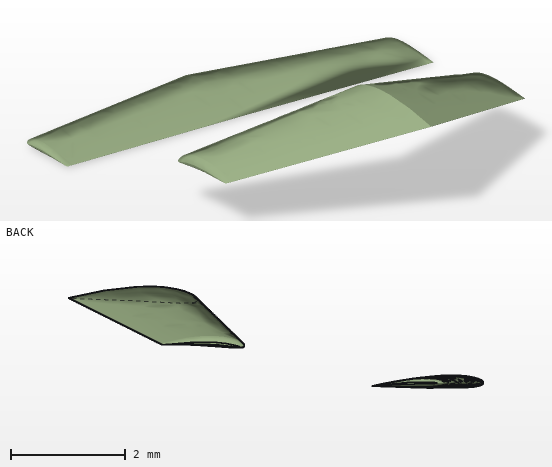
import cadquery as cq
import math


WING_ROOT_LEAD = (0.0, 0.005)
WING_ROOT_TRAIL = (1.91, -0.055)
WING_TIP_LEAD = (0.675, -0.003)
WING_TIP_TRAIL = (1.94, -0.055)
WING_TIP_Y = 3.86
WING_CAMBER = 0.02

TAIL_ROOT_LEAD = (5.0, 1.458)
TAIL_ROOT_TRAIL = (7.24, 1.483)
TAIL_TIP_LEAD = (4.175, 0.66)
TAIL_TIP_TRAIL = (5.675, 0.70)
TAIL_TIP_Y = 3.13
TAIL_CAMBER = 0.04

THICKNESS = 0.12
CAMBER_POSITION = 0.4
POINTS_PER_SIDE = 16

CAP_LENGTH = 0.14
CAP_NOSE_SETBACK = 0.15
CAP_TRAIL_SHORTFALL = 0.015
CAP_END_ANGLE = 75
CAP_SECTIONS = 5


def half_thickness(u):
    """NACA four-digit half thickness at chord fraction u."""
    polynomial = 0.2969 * math.sqrt(u) - 0.1260 * u - 0.3516 * u**2 + 0.2843 * u**3 - 0.1015 * u**4
    return 5 * THICKNESS * polynomial


def camber_line(u, camber):
    """NACA four-digit camber height at chord fraction u."""
    p = CAMBER_POSITION
    if u < p:
        return camber / p**2 * (2 * p * u - u**2)
    return camber / (1 - p) ** 2 * (1 - 2 * p + 2 * p * u - u**2)


def section(lead, trail, camber, y, flatten=1.0, y_drop=0.0):
    """Closed aerofoil wire; y_drop pulls its trailing edge back towards the root."""
    run = trail[0] - lead[0]
    rise = trail[1] - lead[1]

    def surface_point(u, side):
        height = camber_line(u, camber) + side * flatten * half_thickness(u)
        x = lead[0] + u * run - height * rise
        z = lead[1] + u * rise + height * run
        return cq.Vector(x, y - y_drop * u, z)

    stations = [(1 - math.cos(math.pi * i / POINTS_PER_SIDE)) / 2 for i in range(POINTS_PER_SIDE + 1)]
    upper = [surface_point(u, 1) for u in reversed(stations)]
    lower = [surface_point(u, -1) for u in stations[1:]]
    skin = cq.Edge.makeSpline(upper + lower)
    trailing_face = cq.Edge.makeLine(lower[-1], upper[0])
    return cq.Wire.assembleEdges([skin, trailing_face])


def extended(root, tip, tip_y, distance):
    """Point reached by carrying the root-to-tip edge on past the tip."""
    t = distance / tip_y
    return tuple(b + t * (b - a) for a, b in zip(root, tip))


def tip_cap(root_lead, root_trail, tip_lead, tip_trail, tip_y, camber):
    """Cap whose thickness and leading edge follow a quarter ellipse."""
    end_angle = math.radians(CAP_END_ANGLE)
    wires = []
    for i in range(CAP_SECTIONS):
        angle = end_angle * i / (CAP_SECTIONS - 1)
        progress = math.sin(angle) / math.sin(end_angle)
        reach = CAP_LENGTH * progress
        lead = extended(root_lead, tip_lead, tip_y, reach)
        trail = extended(root_trail, tip_trail, tip_y, reach)
        nose = (lead[0] + CAP_NOSE_SETBACK * (1 - math.cos(angle)), lead[1])
        wires.append(
            section(nose, trail, camber, tip_y + reach, math.cos(angle), CAP_TRAIL_SHORTFALL * progress)
        )
    return cq.Solid.makeLoft(wires)


def lifting_surface(root_lead, root_trail, tip_lead, tip_trail, tip_y, camber):
    """Straight tapered half with its cap, mirrored into the full span."""
    root = section(root_lead, root_trail, camber, 0)
    tip = section(tip_lead, tip_trail, camber, tip_y)
    panel = cq.Workplane(cq.Solid.makeLoft([root, tip], True))
    cap = cq.Workplane(tip_cap(root_lead, root_trail, tip_lead, tip_trail, tip_y, camber))
    half = panel.union(cap, clean=False)
    return half.union(half.mirror("XZ"), clean=False)


main_wing = lifting_surface(
    WING_ROOT_LEAD, WING_ROOT_TRAIL, WING_TIP_LEAD, WING_TIP_TRAIL, WING_TIP_Y, WING_CAMBER
)
tail_wing = lifting_surface(
    TAIL_ROOT_LEAD, TAIL_ROOT_TRAIL, TAIL_TIP_LEAD, TAIL_TIP_TRAIL, TAIL_TIP_Y, TAIL_CAMBER
)

result = cq.Compound.makeCompound([main_wing.solids().val(), tail_wing.solids().val()])